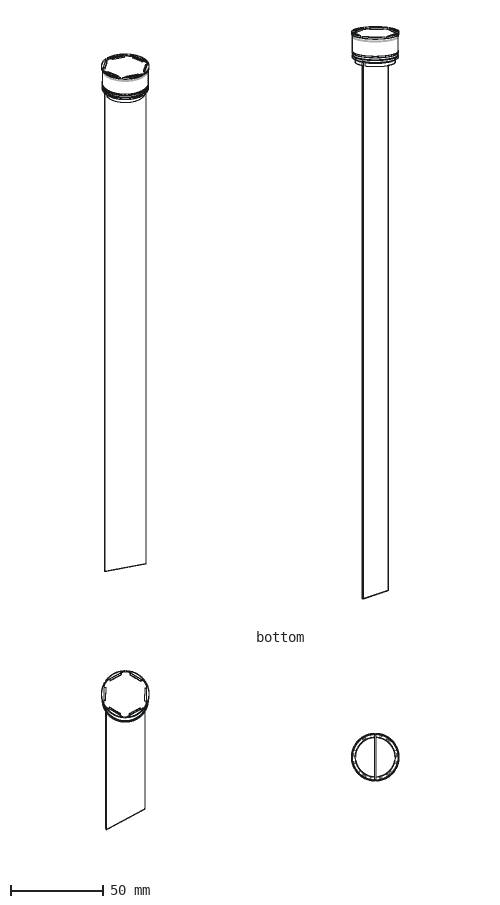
import cadquery as cq
import math


blade_thickness = 1.0
blade_width = 24.0
blade_length = 300.0

base_radius = 12.6
base_height = 3.4
groove_radius = 12.25
groove_bottom = 1.0
groove_top = 2.5
neck_radius = 10.6
neck_length = 1.0
collar_radius = 10.9
collar_length = 1.8

head_height = 14.0
band_radius = 12.5
band_top = 11.4
shoulder_radius = 12.6
shoulder_bottom = 11.9
rim_radius = 13.0
rim_height = 1.0

hex_across_flats = 23.0
hex_sides = 6
tab_width = 7.0
tab_height = 0.8
tab_depth = 0.9

recess_floor = head_height - rim_height
hex_apothem = hex_across_flats / 2


def revolve_about_z(profile):
    """Revolve a closed (radius, height) outline about the Z axis."""
    return cq.Workplane("XZ").polyline(profile).close().revolve(360, (0, 0, 0), (0, 1, 0))


def make_blade():
    """Flat strip whose top edge meets the underside of the base."""
    strip = cq.Workplane("XY").box(
        blade_thickness, blade_width, blade_length, centered=(True, True, False)
    )
    return strip.translate((0, 0, -blade_length))


def make_base():
    """Grooved disc and stepped neck; the slot across the neck holds the blade."""
    groove_bevel = base_radius - groove_radius
    neck_bottom = -neck_length - collar_length
    profile = [
        (0, neck_bottom),
        (collar_radius, neck_bottom),
        (collar_radius, -neck_length),
        (neck_radius, -neck_length),
        (neck_radius, 0),
        (base_radius, 0),
        (base_radius, groove_bottom),
        (groove_radius, groove_bottom + groove_bevel),
        (groove_radius, groove_top),
        (base_radius, groove_top),
        (base_radius, base_height),
        (0, base_height),
    ]
    return revolve_about_z(profile).cut(make_blade())


def make_hex_recess():
    """Hexagonal prism with corners on the Y axis, deep enough to nick the rim at its corners."""
    corner_diameter = hex_across_flats / math.cos(math.pi / hex_sides)
    prism = cq.Workplane("XY").polygon(hex_sides, corner_diameter).extrude(rim_height)
    return prism.rotate((0, 0, 0), (0, 0, 1), 180 / hex_sides).translate((0, 0, recess_floor))


def make_tab(angle):
    """Block on the recess floor, standing against the flat that faces the given angle."""
    block = cq.Workplane("XY").box(tab_depth, tab_width, tab_height, centered=(True, True, False))
    block = block.translate((hex_apothem - tab_depth / 2, 0, recess_floor))
    return block.rotate((0, 0, 0), (0, 0, 1), angle)


def make_cap():
    """Round cap with a hexagonal recess in its top."""
    profile = [
        (0, base_height),
        (band_radius, base_height),
        (band_radius, band_top),
        (shoulder_radius, shoulder_bottom),
        (shoulder_radius, recess_floor),
        (rim_radius, recess_floor),
        (rim_radius, head_height),
        (0, head_height),
    ]
    recess = make_hex_recess()
    for side in range(hex_sides):
        recess = recess.cut(make_tab(side * 360 / hex_sides))
    return revolve_about_z(profile).cut(recess)


blade = make_blade()
base = make_base()
cap = make_cap()

result = cq.Compound.makeCompound([cap.solids().val(), base.solids().val(), blade.val()])